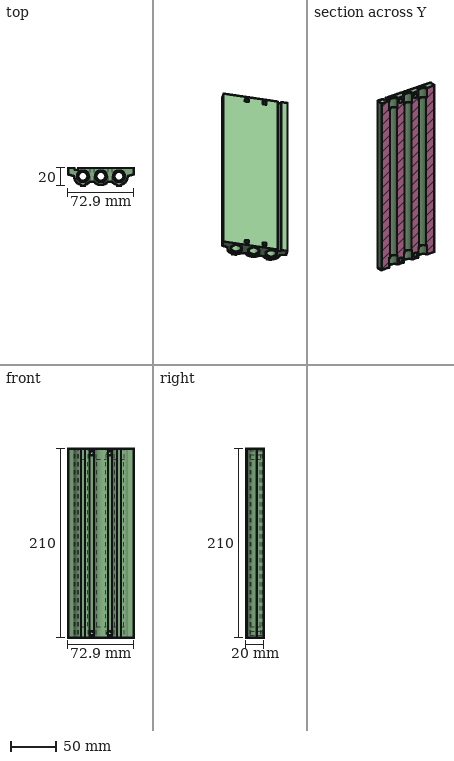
import cadquery as cq

LENGTH = 210.0
WIDTH = 72.9
DEPTH = 20.0
FLANGE_EDGE_THICKNESS = 7.5
FLANGE_ROOT_THICKNESS = 9.75
FLANGE_ROOT_X = 28.0
FLANGE_FACE_RADIUS = 105.0
FLANGE_FILLET_RADIUS = 1.005

CHANNEL_PITCH = 20.0
CHANNEL_DEPTH = 9.4
LOBE_RADIUS = 9.8
WEB_THICKNESS = 15.58
PAD_WIDTH = 4.7

BORE_DIAMETER = 10.0
PORT_DIAMETER = 11.45
PORT_CHAMFER_DIAMETER = 13.16
PORT_LENGTH = 12.0

GROOVE_X = -27.3
GROOVE_DEPTH = 2.3
GROOVE_MOUTH_WIDTH = 4.6
GROOVE_FLOOR_WIDTH = 2.8

MOUNT_DIAMETER = 4.5
MOUNT_END_DISTANCE = 5.0

CHANNEL_XS = (-CHANNEL_PITCH, 0.0, CHANNEL_PITCH)
OUTER_CHANNEL_XS = (-CHANNEL_PITCH, CHANNEL_PITCH)
WEB_XS = (-CHANNEL_PITCH / 2, CHANNEL_PITCH / 2)


def box(x_min, x_max, y_min, y_max):
    """Full-length block between the given X and Y limits."""
    block = cq.Workplane("XY").box(x_max - x_min, y_max - y_min, LENGTH, centered=False)
    return block.translate((x_min, y_min, 0))


def make_flanges():
    """Back plate whose slightly convex front faces thin out towards the side edges."""
    edge_x = WIDTH / 2
    return (
        cq.Workplane("XY")
        .moveTo(-edge_x, 0)
        .lineTo(edge_x, 0)
        .lineTo(edge_x, -FLANGE_EDGE_THICKNESS)
        .radiusArc((FLANGE_ROOT_X, -FLANGE_ROOT_THICKNESS), FLANGE_FACE_RADIUS)
        .lineTo(-FLANGE_ROOT_X, -FLANGE_ROOT_THICKNESS)
        .radiusArc((-edge_x, -FLANGE_EDGE_THICKNESS), FLANGE_FACE_RADIUS)
        .close()
        .extrude(LENGTH)
    )


def make_body():
    """Flanges, webs, lobes and the flat pads on the two outer lobes."""
    envelope = box(-WIDTH / 2, WIDTH / 2, -DEPTH, 0)
    body = make_flanges()
    body = body.union(box(-CHANNEL_PITCH, CHANNEL_PITCH, -WEB_THICKNESS, 0))
    for x in CHANNEL_XS:
        lobe = cq.Workplane("XY").center(x, -CHANNEL_DEPTH).circle(LOBE_RADIUS).extrude(LENGTH)
        body = body.union(lobe.intersect(envelope))
    for x in OUTER_CHANNEL_XS:
        pad = box(x - PAD_WIDTH / 2, x + PAD_WIDTH / 2, -DEPTH, -CHANNEL_DEPTH)
        body = body.union(pad)
    lobe_side_x = CHANNEL_PITCH + LOBE_RADIUS
    for x in (-lobe_side_x, lobe_side_x):
        root_edge = cq.selectors.NearestToPointSelector((x, -FLANGE_ROOT_THICKNESS, LENGTH / 2))
        body = body.edges("|Z").edges(root_edge).fillet(FLANGE_FILLET_RADIUS)
    return body


def make_channel():
    """Revolved cutter for one channel: bore, end ports and 45 degree entry chamfers."""
    bore_radius = BORE_DIAMETER / 2
    port_radius = PORT_DIAMETER / 2
    mouth_radius = PORT_CHAMFER_DIAMETER / 2
    chamfer = mouth_radius - port_radius
    return (
        cq.Workplane("XZ")
        .moveTo(0, 0)
        .lineTo(mouth_radius, 0)
        .lineTo(port_radius, chamfer)
        .lineTo(port_radius, PORT_LENGTH)
        .lineTo(bore_radius, PORT_LENGTH)
        .lineTo(bore_radius, LENGTH - PORT_LENGTH)
        .lineTo(port_radius, LENGTH - PORT_LENGTH)
        .lineTo(port_radius, LENGTH - chamfer)
        .lineTo(mouth_radius, LENGTH)
        .lineTo(0, LENGTH)
        .close()
        .revolve(360, (0, 0, 0), (0, 1, 0))
    )


def make_groove():
    """Cutter for the tapered groove, centred on the back face."""
    return (
        cq.Workplane("XY")
        .center(GROOVE_X, 0)
        .moveTo(-GROOVE_MOUTH_WIDTH / 2, 0)
        .lineTo(-GROOVE_FLOOR_WIDTH / 2, -GROOVE_DEPTH)
        .lineTo(GROOVE_FLOOR_WIDTH / 2, -GROOVE_DEPTH)
        .lineTo(GROOVE_MOUTH_WIDTH / 2, 0)
        .close()
        .extrude(LENGTH)
    )


def make_mounting_holes():
    """Cutter for the four holes through the webs, two near each end."""
    points = [(x, z) for x in WEB_XS for z in (MOUNT_END_DISTANCE, LENGTH - MOUNT_END_DISTANCE)]
    return cq.Workplane("XZ").pushPoints(points).circle(MOUNT_DIAMETER / 2).extrude(DEPTH)


result = make_body()
for channel_x in CHANNEL_XS:
    result = result.cut(make_channel().translate((channel_x, -CHANNEL_DEPTH, 0)))
result = result.cut(make_groove()).cut(make_mounting_holes())